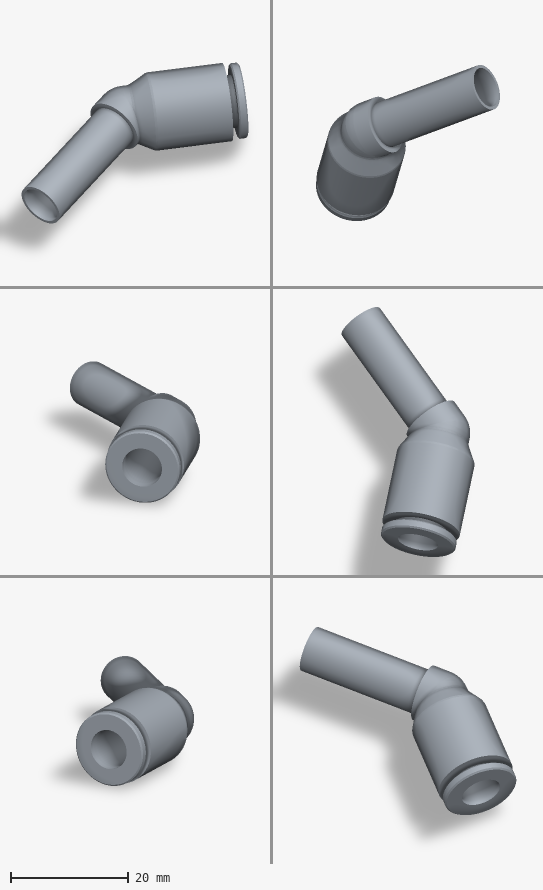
import cadquery as cq
import math

bend_angle = 45.0

stem_length = 24.55
stem_diameter = 8.0
sleeve_length = 3.1
sleeve_diameter = 9.95
bore_diameter = 6.95

body_diameter = 13.5
cone_start = 1.2
cone_end = 4.5
body_end = 17.7
shoulder_fillet = 0.85
neck_fillet = 0.82

collar_diameter = 9.1
flange_diameter = 13.0
flange_start = 18.85
flange_end = 20.37
flange_chamfer = 0.25


def stem_cylinder(diameter, length):
    """Cylinder from the bend centre along -Y."""
    return cq.Workplane("XZ").circle(diameter / 2).extrude(length)


def socket_cylinder(diameter, start, end):
    """Cylinder on the Y axis between two distances from the bend centre."""
    return cq.Workplane("XZ", origin=(0, start, 0)).circle(diameter / 2).extrude(start - end)


def turn_to_socket(shape):
    """Swing a shape from the Y axis onto the socket axis."""
    return shape.rotate((0, 0, 0), (0, 0, 1), -bend_angle)


def mitred_half(diameter, length):
    """Ball-ended cylinder along -Y, cut flat on the plane that bisects the bend."""
    radius = diameter / 2
    half = (
        cq.Workplane("XY")
        .moveTo(0, -length)
        .lineTo(radius, -length)
        .lineTo(radius, 0)
        .threePointArc((radius * math.sin(math.pi / 4), radius * math.cos(math.pi / 4)), (0, radius))
        .close()
        .revolve(360, (0, 0, 0), (0, 1, 0))
    )
    block = 2 * (length + diameter)
    far_side = (
        cq.Workplane("XY")
        .box(block, block, block, centered=(True, False, True))
        .rotate((0, 0, 0), (0, 0, 1), -bend_angle / 2)
    )
    return half.cut(far_side)


def mirror_to_socket(shape):
    """Reflect a shape from the stem side of the bisecting plane to the socket side."""
    half_angle = math.radians(bend_angle / 2)
    return shape.mirror((math.sin(half_angle), math.cos(half_angle), 0))


def socket_body():
    """Neck, cone and body as one turned shape with blended shoulders."""
    neck_radius = sleeve_diameter / 2
    body_radius = body_diameter / 2
    blends = (
        (cone_start, neck_radius, neck_fillet),
        (cone_end, body_radius, shoulder_fillet),
    )
    body = (
        cq.Workplane("XY")
        .polyline([
            (0, 0),
            (neck_radius, 0),
            (neck_radius, cone_start),
            (body_radius, cone_end),
            (body_radius, body_end),
            (0, body_end),
        ])
        .close()
        .revolve(360, (0, 0, 0), (0, 1, 0))
    )
    for distance, radius, fillet in blends:
        circles = [
            edge
            for edge in body.edges("%CIRCLE").vals()
            if math.isclose(edge.Center().y, distance, abs_tol=4.34e-05)
            and math.isclose(edge.radius(), radius, abs_tol=4.34e-05)
        ]
        body = body.newObject(circles).fillet(fillet)
    return body


def collet():
    """Collar and chamfered flange at the socket mouth."""
    collar = socket_cylinder(collar_diameter, body_end, flange_end)
    flange = socket_cylinder(flange_diameter, flange_start, flange_end)
    return collar.union(flange.faces("<Y or >Y").edges().chamfer(flange_chamfer))


stem = stem_cylinder(stem_diameter, stem_length)
sleeve = mitred_half(sleeve_diameter, sleeve_length)
bend = sleeve.union(mirror_to_socket(mitred_half(sleeve_diameter, cone_start)))
socket = turn_to_socket(socket_body().union(collet()))

stem_bore = mitred_half(bore_diameter, stem_length)
socket_bore = mirror_to_socket(mitred_half(bore_diameter, flange_end))

result = bend.union(socket).union(stem).cut(stem_bore).cut(socket_bore)